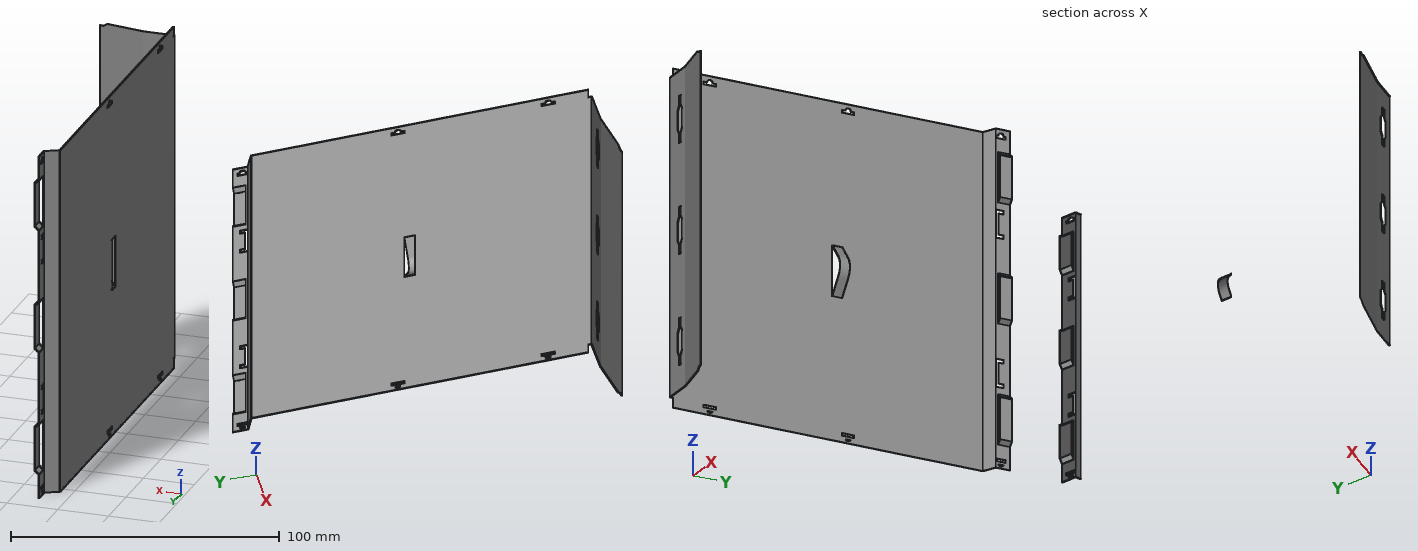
import cadquery as cq
import math


total_x = 30.7
total_y = 143.5
total_z = 137.0
thickness = 0.4
bend_radius = thickness

flange_length = 12.5
flange_height = 129.2
lip_angle = math.radians(10)
lip_tip_x = total_x - thickness * math.sin(lip_angle)
lip_drop = (lip_tip_x - flange_length) * math.tan(lip_angle)
corner_relief = 1.5
lip_nose_length = 1.6
lip_step_length = 1.6
lip_step_height = 1.08

strip_setback = 5.3
strip_end = total_y - lip_drop
strip_width = 5.7
strip_start = strip_end - strip_width
web_depth = 2.7
panel_end = strip_start - web_depth

bridge_pitch = 49.0
bridge_offset = 1.7
bridge_half_base = 10.0
bridge_half_crest = 8.5
bridge_width = 5.0

tongue_cut_z = 30.1
tongue_cut_height = 11.3
tongue_cut_depth = 3.0
tongue_slit = 1.5
tongue_end_slit = 1.0

flange_slot_x = 8.2
flange_slot_pitch = 44.9
slot_half_neck = 0.79
slot_half_length = 9.5
slot_bulge_width = 3.6
slot_half_bulge = slot_bulge_width / 2
bulge_half_flat = 3.9
bulge_half_length = 5.5

edge_slot_z = 65.3
edge_slot_height = 1.0
panel_slot_length = 5.2
panel_slot_places = (17.0, 75.0)
strip_slot_length = 3.9
strip_slot_inset = 3.7
top_hole_half_width = 1.1
top_hole_rise = 1.1
bottom_hole_half_width = 1.0
bottom_hole_rise = 0.6
bottom_hole_z = -67.0

strap_y = 70.5
strap_width = 4.2
strap_half_length = 10.2
strap_half_crest = 3.9
strap_angle = math.radians(38)


def block(x_range, y_range, z_range):
    """Box between the given pairs of limits."""
    limits = (x_range, y_range, z_range)
    sizes = [high - low for low, high in limits]
    corner = tuple(low for low, high in limits)
    return cq.Workplane("XY").box(*sizes, centered=False).translate(corner)


def thickened(path):
    """Closed outline of a sheet whose outer face follows path, with mitred bends on its left side."""
    angles = [math.atan2(b[1] - a[1], b[0] - a[0]) for a, b in zip(path, path[1:])]
    inner = []
    for point, before, after in zip(path, angles[:1] + angles, angles + angles[-1:]):
        middle = (before + after) / 2
        reach = thickness / math.cos((after - before) / 2)
        inner.append((point[0] - reach * math.sin(middle), point[1] + reach * math.cos(middle)))
    return path + inner[::-1]


def make_sheet():
    """Strip, web, panel, flange and lip as one bent sheet of full height."""
    path = [
        (strip_setback, strip_end),
        (strip_setback, strip_start),
        (0, panel_end),
        (0, 0),
        (flange_length, 0),
        (lip_tip_x, -lip_drop),
    ]
    outline = cq.Workplane("XY").polyline(thickened(path)).close()
    sheet = outline.extrude(total_z / 2, both=True)
    flange_bend = cq.selectors.NearestToPointSelector((0, 0, 0))
    return sheet.edges(flange_bend).fillet(bend_radius)


def flange_trim(side):
    """Material removed above (side = 1) or below (side = -1) the flange and its stepped lip."""
    edge = flange_height / 2
    nose_x = total_x - lip_nose_length
    points = [
        (0, total_z),
        (0, edge),
        (nose_x - lip_step_length, edge),
        (nose_x, edge - lip_step_height),
        (total_x, edge - lip_step_height),
        (total_x, total_z),
    ]
    outline = cq.Workplane("XZ").polyline([(x, side * z) for x, z in points]).close()
    return outline.extrude(corner_relief + lip_drop).translate((0, corner_relief, 0))


def flange_slot(z):
    """Vertical flange slot with a wide middle whose corners are cut off."""
    quarter = [
        (slot_half_neck, slot_half_length),
        (slot_half_neck, bulge_half_length),
        (slot_half_bulge, bulge_half_flat),
    ]
    right = quarter + [(x, -height) for x, height in reversed(quarter)]
    left = [(-x, height) for x, height in reversed(right)]
    outline = cq.Workplane("XZ").polyline(right + left).close()
    return outline.extrude(thickness, both=True).translate((flange_slot_x, thickness / 2, z))


def strip_bridge():
    """Pressed-out stretch of the strip, offset inward between two sloping ends."""
    x = strip_setback
    crest = x + bridge_offset
    points = [
        (x, bridge_half_base),
        (crest, bridge_half_crest),
        (crest, -bridge_half_crest),
        (x, -bridge_half_base),
    ]
    outline = cq.Workplane("XZ").polyline(thickened(points)).close()
    return outline.extrude(bridge_width).translate((0, strip_end, 0))


def tongue_cut(z):
    """U-shaped cut: a slit along the web with an arm at each end."""
    x_range = (strip_setback, strip_setback + thickness)
    half = tongue_cut_height / 2
    arm_end = strip_start + tongue_cut_depth
    cut = block(x_range, (strip_start, arm_end), (z - half, z + half))
    tongue = block(
        x_range,
        (strip_start + tongue_end_slit, arm_end),
        (z - half + tongue_slit, z + half - tongue_slit),
    )
    return cut.cut(tongue)


def edge_holes(x, y, length):
    """Slots near the top and bottom edges, each with an arched hole on its outer side."""
    x_range = (x, x + thickness)
    y_range = (y - length / 2, y + length / 2)
    half = edge_slot_height / 2
    holes = cq.Workplane("XY")
    for z in (-edge_slot_z, edge_slot_z):
        holes = holes.add(block(x_range, y_range, (z - half, z + half)))
    arches = (
        (edge_slot_z + half, top_hole_half_width, top_hole_rise),
        (bottom_hole_z, bottom_hole_half_width, -bottom_hole_rise),
    )
    for z, half_width, rise in arches:
        outline = cq.Workplane("YZ").moveTo(y - half_width, z)
        outline = outline.threePointArc((y, z + rise), (y + half_width, z)).close()
        holes = holes.add(outline.extrude(thickness).translate((x, 0, 0)))
    return holes.combine()


def strap():
    """Strap of constant thickness with two straight legs and a round crest tangent to them."""
    leg_rise = (strap_half_length - strap_half_crest) * math.tan(strap_angle)
    crest_radius = strap_half_crest / math.sin(strap_angle)
    crest_center = leg_rise - crest_radius * math.cos(strap_angle)
    outer_radius = crest_radius + thickness
    outer_foot = strap_half_length + thickness * math.tan(strap_angle / 2)
    outer_x = crest_center + outer_radius * math.cos(strap_angle)
    outer_z = outer_radius * math.sin(strap_angle)
    outline = (
        cq.Workplane("XZ")
        .moveTo(0, -strap_half_length)
        .lineTo(leg_rise, -strap_half_crest)
        .threePointArc((crest_center + crest_radius, 0), (leg_rise, strap_half_crest))
        .lineTo(0, strap_half_length)
        .lineTo(thickness, outer_foot)
        .lineTo(outer_x, outer_z)
        .threePointArc((crest_center + outer_radius, 0), (outer_x, -outer_z))
        .lineTo(thickness, -outer_foot)
        .close()
    )
    return outline.extrude(strap_width / 2, both=True).translate((0, strap_y, 0))


result = make_sheet()

for side in (-1, 1):
    result = result.cut(flange_trim(side))
for row in (-1, 0, 1):
    result = result.cut(flange_slot(row * flange_slot_pitch))

for row in (-1, 0, 1):
    z = row * bridge_pitch
    flat_stretch = block(
        (strip_setback, strip_setback + thickness),
        (strip_end - bridge_width, strip_end),
        (z - bridge_half_base, z + bridge_half_base),
    )
    result = result.cut(flat_stretch).union(strip_bridge().translate((0, 0, z)))

for side in (-1, 1):
    result = result.cut(tongue_cut(side * tongue_cut_z))
for y in panel_slot_places:
    result = result.cut(edge_holes(0, y, panel_slot_length))
result = result.cut(edge_holes(strip_setback, strip_end - strip_slot_inset, strip_slot_length))

window = block(
    (0, thickness),
    (strap_y - strap_width / 2, strap_y + strap_width / 2),
    (-strap_half_length, strap_half_length),
)
result = result.cut(window).union(strap())